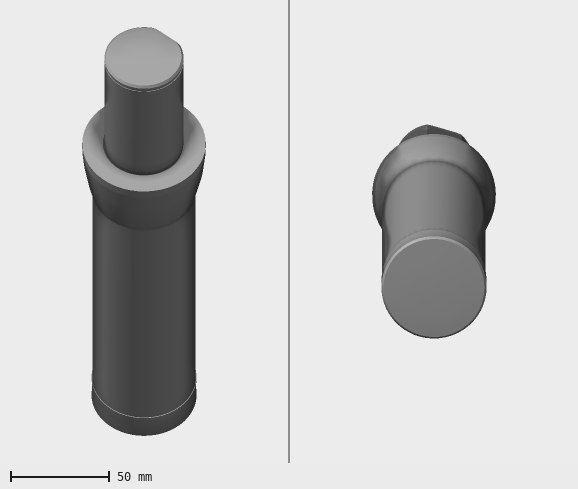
import cadquery as cq

TOTAL_HEIGHT = 274.0
FLANGE_TOP = 204.0
RIM_HEIGHT = 5.0
BODY_TOP = 167.1
FOOT_TOP = 16.2
FOOT_EDGE = 2.0
FOOT_BASE = 0.5

FLANGE_RADIUS = 62.5 / 2
BODY_RADIUS = 52.3 / 2
FOOT_RADIUS = 53.2 / 2
FOOT_CHAMFER = 1.0
FOOT_WAIST = 0.3
FLARE_BULGE = 0.8

NECK_RADIUS = 39.5 / 2
BORE_DEPTH = 37.3
MOUTH_CHAMFER = 1.0

ROD_RADIUS = 40.0 / 2
NECK_TOP = 205.0
SHOULDER_TOP = 205.5
TOP_CHAMFER = 1.0
GROOVE_TOP = 272.0
GROOVE_BOTTOM = 270.5
FLAT_OFFSET = 17.8
FLAT_START = 207.7


def make_sleeve():
    """Flared sleeve with a rimmed foot, a slightly domed base and a blind bore."""
    rim_bottom = FLANGE_TOP - RIM_HEIGHT
    flare_mid = ((FLANGE_RADIUS + BODY_RADIUS) / 2 + FLARE_BULGE, (rim_bottom + BODY_TOP) / 2)
    foot_mid = (FOOT_RADIUS - FOOT_WAIST, (FOOT_EDGE + FOOT_TOP) / 2)
    base_radius = FOOT_RADIUS - FOOT_CHAMFER
    dome_mid = (base_radius / 2, FOOT_BASE / 4)
    bore_bottom = FLANGE_TOP - BORE_DEPTH
    return (
        cq.Workplane("XZ")
        .moveTo(0, 0)
        .threePointArc(dome_mid, (base_radius, FOOT_BASE))
        .lineTo(FOOT_RADIUS, FOOT_EDGE)
        .threePointArc(foot_mid, (FOOT_RADIUS, FOOT_TOP))
        .lineTo(BODY_RADIUS, FOOT_TOP)
        .lineTo(BODY_RADIUS, BODY_TOP)
        .threePointArc(flare_mid, (FLANGE_RADIUS, rim_bottom))
        .lineTo(FLANGE_RADIUS, FLANGE_TOP)
        .lineTo(NECK_RADIUS + MOUTH_CHAMFER, FLANGE_TOP)
        .lineTo(NECK_RADIUS, FLANGE_TOP - MOUTH_CHAMFER)
        .lineTo(NECK_RADIUS, bore_bottom)
        .lineTo(0, bore_bottom)
        .close()
        .revolve(360, (0, 0, 0), (0, 1, 0))
    )


def make_rod():
    """Rod standing in the bore, with a ring groove near its top and a flat on +Y above the flange."""
    rod_bottom = FLANGE_TOP - BORE_DEPTH
    rod = (
        cq.Workplane("XZ")
        .moveTo(0, rod_bottom)
        .lineTo(NECK_RADIUS, rod_bottom)
        .lineTo(NECK_RADIUS, NECK_TOP)
        .lineTo(ROD_RADIUS, SHOULDER_TOP)
        .lineTo(ROD_RADIUS, GROOVE_BOTTOM)
        .lineTo(NECK_RADIUS, GROOVE_BOTTOM)
        .lineTo(NECK_RADIUS, GROOVE_TOP)
        .lineTo(ROD_RADIUS, GROOVE_TOP)
        .lineTo(ROD_RADIUS, TOTAL_HEIGHT - TOP_CHAMFER)
        .lineTo(ROD_RADIUS - TOP_CHAMFER, TOTAL_HEIGHT)
        .lineTo(0, TOTAL_HEIGHT)
        .close()
        .revolve(360, (0, 0, 0), (0, 1, 0))
    )
    flat_depth = ROD_RADIUS - FLAT_OFFSET
    flat_cut = (
        cq.Workplane("YZ")
        .moveTo(ROD_RADIUS, FLAT_START)
        .lineTo(ROD_RADIUS, TOTAL_HEIGHT)
        .lineTo(FLAT_OFFSET, TOTAL_HEIGHT)
        .lineTo(FLAT_OFFSET, FLAT_START + flat_depth)
        .close()
        .extrude(ROD_RADIUS, both=True)
    )
    return rod.cut(flat_cut)


sleeve = make_sleeve()
rod = make_rod()
result = cq.Compound.makeCompound([sleeve.val(), rod.val()])